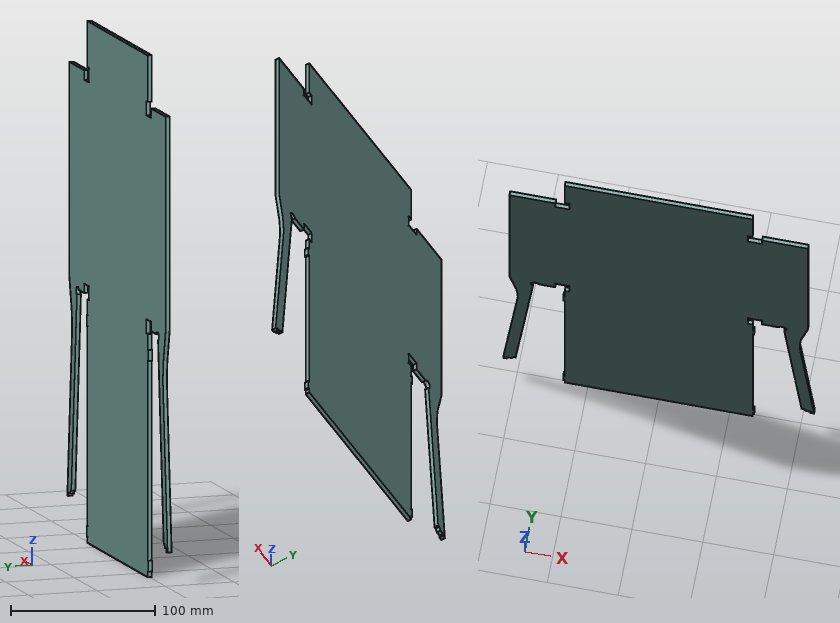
import cadquery as cq
import math

height = 368.0
thickness = 3.0

strip_half_width = 66.2
bump_depth = 1.0
bump_height = 7.7
bump_bottoms = [4.0, 152.7]

body_half_width = 105.3
body_bottom = 174.8
body_top = 332.0

notch_inner = 63.0
notch_outer = 73.0
notch_depth = 6.5
strip_step = 3.3

arm_lean = math.radians(5)
arm_half_span = 109.5
arm_bottom = 25.5
arm_width = 8.5
shoulder_z = 180.5
waist_start = (100.5, 159.0)
waist_end_z = 142.0
waist_bulge = 0.5
relief_radius = 3.0
relief_center = (87.2, 173.7)

toe_width = 2.5
toe_height = 2.2
tip_land_width = 6.0
tip_step_width = 7.5
tip_step_height = 4.8


def extrude_outline(outline):
    return outline.close().extrude(thickness / 2, both=True)


def box(x_min, x_max, z_min, z_max):
    """Full-thickness rectangle given by its X and Z limits."""
    return (
        cq.Workplane("XY")
        .box(x_max - x_min, thickness, z_max - z_min)
        .translate(((x_min + x_max) / 2, 0, (z_min + z_max) / 2))
    )


def outer_arm_x(z):
    return arm_half_span - (z - arm_bottom) * math.tan(arm_lean)


def inner_arm_x(z):
    return outer_arm_x(z) - arm_width / math.cos(arm_lean)


def make_arm():
    """Right-hand arm, overlapping the body at its root."""
    toe_top = arm_bottom + toe_height
    step_top = arm_bottom + tip_step_height
    waist_middle_z = (waist_start[1] + waist_end_z) / 2
    waist_middle_x = (waist_start[0] + outer_arm_x(waist_end_z)) / 2 - waist_bulge
    outline = (
        cq.Workplane("XZ")
        .moveTo(body_half_width, shoulder_z)
        .lineTo(*waist_start)
        .threePointArc((waist_middle_x, waist_middle_z), (outer_arm_x(waist_end_z), waist_end_z))
        .lineTo(arm_half_span, arm_bottom)
        .lineTo(arm_half_span - toe_width, arm_bottom)
        .lineTo(arm_half_span - toe_width, toe_top)
        .lineTo(arm_half_span - tip_land_width, toe_top)
        .lineTo(arm_half_span - tip_step_width, step_top)
        .lineTo(inner_arm_x(step_top), step_top)
        .lineTo(inner_arm_x(shoulder_z), shoulder_z)
    )
    return extrude_outline(outline)


def make_relief():
    """Round relief at the inner root of the right-hand arm."""
    return (
        cq.Workplane("XZ")
        .center(*relief_center)
        .circle(relief_radius)
        .extrude(thickness, both=True)
    )


def make_right_half():
    half = box(0, strip_half_width, 0, height)
    half = half.union(box(0, body_half_width, shoulder_z, body_top))
    half = half.union(box(0, inner_arm_x(body_bottom), body_bottom, shoulder_z))
    half = half.union(make_arm())
    for bottom in bump_bottoms:
        half = half.union(box(0, strip_half_width + bump_depth, bottom, bottom + bump_height))
    half = half.cut(box(notch_inner, notch_outer, body_top - notch_depth, body_top + strip_step))
    half = half.cut(box(notch_inner, notch_outer, body_bottom - strip_step, body_bottom + notch_depth))
    return half.cut(make_relief())


right_half = make_right_half()
result = right_half.union(right_half.mirror("YZ")).clean()